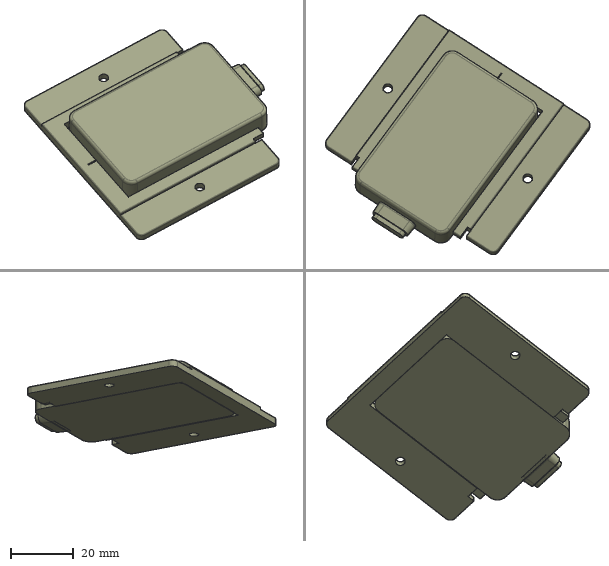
import cadquery as cq

plate_width = 66.24
plate_length = 54.6
wing_height = 2.25
plate_corner_radius = 2.0
raised_width = 44.4
raised_height = 3.0
edge_fillet = 0.25

tongue_start = 52.1
tongue_end = 56.1
tongue_underside = 1.25
tongue_outer_width = 41.8

hole_diameter = 3.0
hole_spacing = 54.0
hole_y = plate_length / 2

mark_width = 0.25
mark_length = 3.1
mark_height = 0.2

housing_width = 35.85
housing_front = 6.05
housing_back = 61.1
housing_bottom = 0.25
housing_top = 8.1
housing_corner_radius = 3.5
housing_draft = 1.0
housing_top_fillet = 1.0

pocket_width = 36.0
pocket_front = 5.95

plug_seat = 60.0
plug_collar_end = 61.5
plug_shoulder = 65.05
plug_tip_end = 66.6
plug_axis_height = 2.55
plug_width = 14.0
plug_thickness = 4.25
plug_taper = 4.0
tip_width = 11.9
tip_thickness = 2.9


def block(width, y_start, y_end, z_start, z_end):
    """Box centred on X between the given Y and Z limits."""
    return (
        cq.Workplane("XY")
        .box(width, y_end - y_start, z_end - z_start, centered=(True, False, False))
        .translate((0, y_start, z_start))
    )


def drafted_block(width, y_start, y_end, z_start, z_end, corner_radius, draft):
    """Round-cornered box whose walls lean inward from its full-size bottom face."""
    return (
        cq.Workplane("XY", origin=(0, (y_start + y_end) / 2, z_start))
        .sketch()
        .rect(width, y_end - y_start)
        .vertices()
        .fillet(corner_radius)
        .finalize()
        .extrude(z_end - z_start, taper=draft)
    )


def make_plate():
    """Round-cornered plate with a raised middle and rounded top edges."""
    wings = block(plate_width, 0, plate_length, 0, wing_height).edges("|Z").fillet(plate_corner_radius)
    raised = block(raised_width, 0, plate_length, 0, raised_height)
    plate = wings.union(raised)
    plate = plate.faces(">Z").edges("|Y").fillet(edge_fillet)
    return plate.faces("<Y").edges("not(<Z or <X or >X)").fillet(edge_fillet)


def make_base():
    gap = block(raised_width, tongue_start, plate_length, 0, raised_height)
    tongue = block(tongue_outer_width, tongue_start, tongue_end, tongue_underside, raised_height)
    tongue = tongue.faces(">Z").edges(">Y").fillet(edge_fillet)
    pocket = block(pocket_width, pocket_front, tongue_end, 0, raised_height)
    mark = block(mark_width, pocket_front - mark_length, pocket_front,
                 wing_height, raised_height + mark_height)
    holes = (
        cq.Workplane("XY")
        .pushPoints([(side * hole_spacing / 2, hole_y) for side in (-1, 1)])
        .circle(hole_diameter / 2)
        .extrude(wing_height)
    )
    return make_plate().cut(gap).union(tongue).cut(pocket).union(mark).cut(holes)


def make_plug():
    def section(y, width, thickness):
        return cq.Workplane("XZ", origin=(0, y, plug_axis_height)).slot2D(width, thickness)

    collar = section(plug_collar_end, plug_width, plug_thickness).extrude(plug_collar_end - plug_seat)
    body = section(plug_collar_end, plug_width, plug_thickness).extrude(
        plug_collar_end - plug_shoulder, taper=plug_taper
    )
    tip = section(plug_tip_end, tip_width, tip_thickness).extrude(plug_tip_end - plug_shoulder)
    return collar.union(body).union(tip)


def make_housing(plug):
    shell = drafted_block(
        housing_width, housing_front, housing_back, housing_bottom, housing_top,
        housing_corner_radius, housing_draft,
    )
    shell = shell.faces(">Z").edges().fillet(housing_top_fillet)
    return shell.cut(plug)


base = make_base()
plug = make_plug()
housing = make_housing(plug)

result = cq.Compound.makeCompound([base.val(), housing.val(), plug.val()])